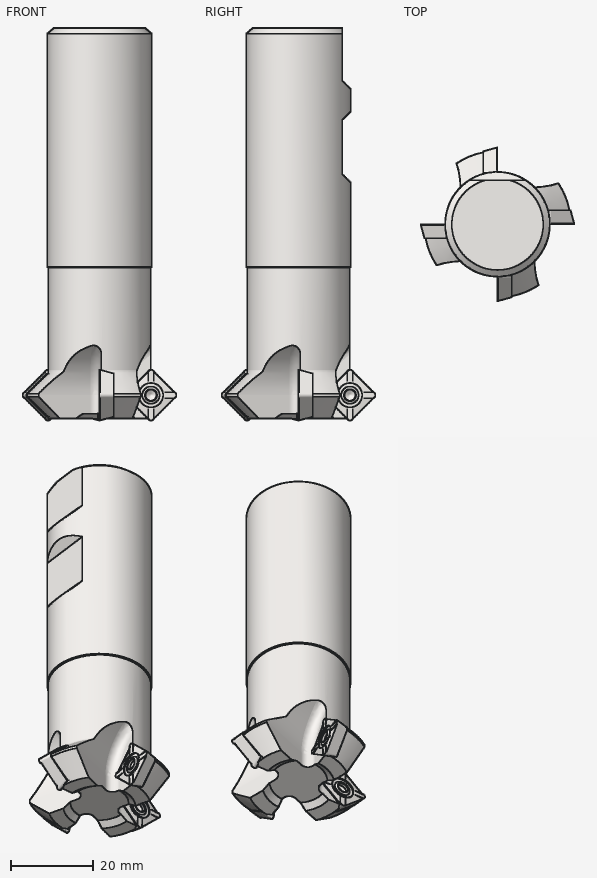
import cadquery as cq
import math

TOTAL_HEIGHT = 95.25
BLADE_COUNT = 4
BLADE_PITCH = 360.0 / BLADE_COUNT

INSERT_REACH = 6.2
NOSE_RADIUS = 0.8
INSERT_THICKNESS = 3.4
RELIEF_ANGLE = 11.0
INSERT_RADIUS = 12.5
INSERT_HEIGHT = INSERT_REACH
RELIEF_SINE = math.sin(math.radians(RELIEF_ANGLE))
RELIEF_COSINE = math.cos(math.radians(RELIEF_ANGLE))
NOSE_SETBACK = NOSE_RADIUS * (math.sqrt(2) - math.sqrt(1 + RELIEF_SINE**2)) / RELIEF_COSINE
EDGE_DISTANCE = (INSERT_REACH + NOSE_SETBACK) / math.sqrt(2)

RIB_HALF_WIDTH = 0.71
DISH_DIAMETER = 5.9
DISH_DEPTH = 0.3
FACET_DROP = 0.24
HEAD_DIAMETER = 4.2
HEAD_TOP_DIAMETER = 3.0
SOCKET_DIAMETER = 2.7
SOCKET_DEPTH = 0.8
SOCKET_TIP_DEPTH = 0.8

SHANK_DIAMETER = 25.4
NECK_DIAMETER = 25.0
NECK_TOP = 37.3
TOP_CHAMFER_WIDTH = 1.6
TOP_CHAMFER_HEIGHT = 1.4

FLAT_Y = 10.7
FLAT_DEPTH = SHANK_DIAMETER / 2 - FLAT_Y
FLAT_BOTTOM = 59.7
LAND_BOTTOM = 73.0
LAND_TOP = 82.4

HEAD_RADIUS = 17.8
RIM_HALF_HEIGHT = 0.4
CONE_RISE = HEAD_RADIUS - NECK_DIAMETER / 2 + RIM_HALF_HEIGHT
NECK_FILLET = 0.9
RECESS_RADIUS = 8.8
RECESS_TOP_RADIUS = 7.05
RECESS_DEPTH = 1.2

WALL_Y = 0.5
FLUTE_CORNER_X = 4.2
FLOOR_TILT = 20.8
FLOOR_STRAIGHT_TOP = INSERT_HEIGHT
RUNOUT_RADIUS = 14.0
FLUTE_FILLET = 2.0
FLUTE_LENGTH = 23.8
FLUTE_OVERRUN = 1.0


def around_axis(shape, index):
    return shape.rotate((0, 0, 0), (0, 0, 1), index * BLADE_PITCH)


def place_insert(shape):
    """Move a shape from the insert's own centre to the seat of the +X blade."""
    return shape.translate((INSERT_RADIUS, 0, INSERT_HEIGHT))


def make_shank_and_head():
    shank_radius = SHANK_DIAMETER / 2
    neck_radius = NECK_DIAMETER / 2
    head_bottom = INSERT_HEIGHT - CONE_RISE
    profile = [
        (0, head_bottom + RECESS_DEPTH),
        (RECESS_TOP_RADIUS, head_bottom + RECESS_DEPTH),
        (RECESS_RADIUS, head_bottom),
        (neck_radius, head_bottom),
        (HEAD_RADIUS, INSERT_HEIGHT - RIM_HALF_HEIGHT),
        (HEAD_RADIUS, INSERT_HEIGHT + RIM_HALF_HEIGHT),
        (neck_radius, INSERT_HEIGHT + CONE_RISE),
        (neck_radius, NECK_TOP - (shank_radius - neck_radius)),
        (shank_radius, NECK_TOP),
        (shank_radius, TOTAL_HEIGHT - TOP_CHAMFER_HEIGHT),
        (shank_radius - TOP_CHAMFER_WIDTH, TOTAL_HEIGHT),
        (0, TOTAL_HEIGHT),
    ]
    solid = cq.Workplane("XZ").polyline(profile).close().revolve(360, (0, 0, 0), (0, 1, 0))
    margin = NECK_FILLET / 10
    root_z = INSERT_HEIGHT + CONE_RISE
    root = cq.selectors.BoxSelector(
        (-HEAD_RADIUS, -HEAD_RADIUS, root_z - margin), (HEAD_RADIUS, HEAD_RADIUS, root_z + margin), True
    )
    return solid.edges(root).fillet(NECK_FILLET)


def make_flat_cutter():
    """Two notches with 45 degree ends, leaving the land between them."""
    y_outer = FLAT_Y + FLAT_DEPTH
    lower = [
        (FLAT_Y, FLAT_BOTTOM),
        (y_outer, FLAT_BOTTOM - FLAT_DEPTH),
        (y_outer, LAND_BOTTOM + FLAT_DEPTH),
        (FLAT_Y, LAND_BOTTOM),
    ]
    upper = [
        (FLAT_Y, LAND_TOP),
        (y_outer, LAND_TOP - FLAT_DEPTH),
        (y_outer, TOTAL_HEIGHT),
        (FLAT_Y, TOTAL_HEIGHT),
    ]
    plane = cq.Workplane("YZ")
    lower_notch = plane.polyline(lower).close().extrude(SHANK_DIAMETER / 2, both=True)
    upper_notch = plane.polyline(upper).close().extrude(SHANK_DIAMETER / 2, both=True)
    return lower_notch.union(upper_notch)


def make_flute():
    """Space in front of the +X insert: a tilted floor that curves outward at its top, and a seat wall."""
    tilt = math.radians(FLOOR_TILT)
    floor_plane = cq.Plane(
        origin=(FLUTE_CORNER_X, WALL_Y, 0),
        xDir=(math.cos(tilt), math.sin(tilt), 0),
        normal=(math.sin(tilt), -math.cos(tilt), 0),
    )
    arc_step = RUNOUT_RADIUS * math.sqrt(0.5)
    runout = (
        cq.Workplane(floor_plane)
        .moveTo(0, -FLUTE_OVERRUN)
        .lineTo(0, FLOOR_STRAIGHT_TOP)
        .threePointArc(
            (RUNOUT_RADIUS - arc_step, FLOOR_STRAIGHT_TOP + arc_step),
            (RUNOUT_RADIUS, FLOOR_STRAIGHT_TOP + RUNOUT_RADIUS),
        )
        .lineTo(RUNOUT_RADIUS, -FLUTE_OVERRUN)
        .close()
        .extrude(FLUTE_LENGTH, both=True)
    )
    stock = cq.Workplane("XY").box(3 * FLUTE_LENGTH, FLUTE_LENGTH, 3 * FLUTE_LENGTH)
    front_of_wall = stock.translate((0, WALL_Y - FLUTE_LENGTH / 2, 0))
    cutter = runout.intersect(front_of_wall)
    margin = FLUTE_FILLET / 10
    floor_edges = cq.selectors.BoxSelector(
        (FLUTE_CORNER_X - margin, WALL_Y - margin, 0),
        (FLUTE_CORNER_X + RUNOUT_RADIUS / 2, WALL_Y + margin, FLOOR_STRAIGHT_TOP + RUNOUT_RADIUS),
    )
    return cutter.edges(floor_edges).fillet(FLUTE_FILLET)


def make_facet_cutter():
    """Wedge that slopes the +X +Z quarter of the cutting face down towards its edge."""
    diagonal = cq.Plane(origin=(0, 0, 0), xDir=(1, 0, 1), normal=(-1, 0, 1))
    start = DISH_DIAMETER / 2
    run = EDGE_DISTANCE - start
    slope = [(start, 0), (start + 2 * run, 2 * FACET_DROP), (start + 2 * run, 0)]
    wedge = cq.Workplane(diagonal).polyline(slope).close().extrude(INSERT_REACH, both=True)
    quarter = cq.Workplane("XZ").rect(INSERT_REACH, INSERT_REACH, centered=False)
    quarter = quarter.extrude(INSERT_THICKNESS, both=True)
    return wedge.intersect(quarter.translate((RIB_HALF_WIDTH, 0, RIB_HALF_WIDTH)))


def make_dish():
    """Ring-shaped recess that leaves a tapered head standing level with the ribs."""
    profile = [
        (HEAD_TOP_DIAMETER / 2, 0),
        (HEAD_DIAMETER / 2, DISH_DEPTH),
        (DISH_DIAMETER / 2, DISH_DEPTH),
        (DISH_DIAMETER / 2, 0),
    ]
    return cq.Workplane("XY").polyline(profile).close().revolve(360, (0, 0, 0), (0, 1, 0))


def make_socket():
    radius = SOCKET_DIAMETER / 2
    profile = [(0, 0), (radius, 0), (radius, SOCKET_DEPTH), (0, SOCKET_DEPTH + SOCKET_TIP_DEPTH)]
    return cq.Workplane("XY").polyline(profile).close().revolve(360, (0, 0, 0), (0, 1, 0))


def make_insert_blank():
    """Insert without its face details, which is also the shape of its seat."""
    outline = cq.Sketch().rect(2 * EDGE_DISTANCE, 2 * EDGE_DISTANCE, angle=45)
    front = cq.Workplane(cq.Plane(origin=(0, 0, 0), xDir=(-1, 0, 0), normal=(0, 1, 0)))
    block = front.placeSketch(outline).extrude(INSERT_THICKNESS, taper=RELIEF_ANGLE)
    return block.edges("not (<Y or >Y)").fillet(NOSE_RADIUS)


def make_insert():
    insert = make_insert_blank().cut(make_dish()).cut(make_socket())
    facet = make_facet_cutter()
    for quarter_turn in (0, 90, 180, 270):
        insert = insert.cut(facet.rotate((0, 0, 0), (0, 1, 0), quarter_turn))
    return insert


def make_cutter_body():
    body = make_shank_and_head().cut(make_flat_cutter())
    flute = make_flute()
    seat = place_insert(make_insert_blank())
    for index in range(BLADE_COUNT):
        body = body.cut(around_axis(flute, index))
        body = body.cut(around_axis(seat, index))
    return body


cutter_body = make_cutter_body()
placed_insert = place_insert(make_insert())
inserts = [around_axis(placed_insert, index) for index in range(BLADE_COUNT)]

result = cq.Compound.makeCompound([cutter_body.val(), *[insert.val() for insert in inserts]])